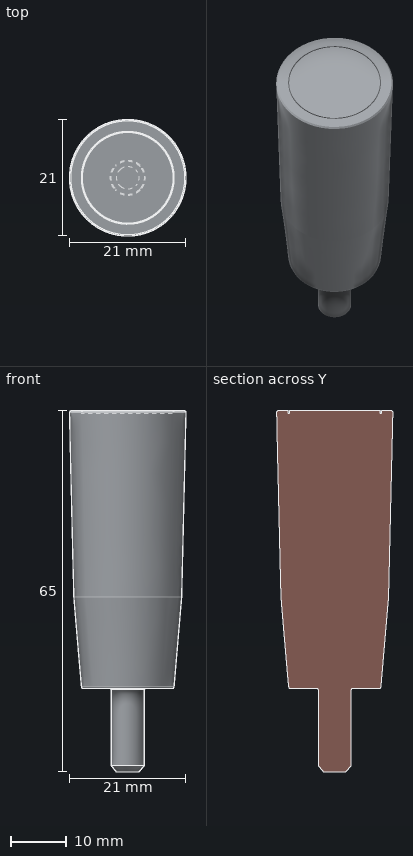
import cadquery as cq

total_height = 65.0
pin_length = 15.0
seam_z = 31.45
tip_chamfer_height = 1.2

top_diameter = 21.0
seam_diameter = 19.45
base_diameter = 16.7
pin_diameter = 6.0
tip_diameter = 4.0
flare_diameter = 6.3
cap_hole_diameter = 16.7

top_chamfer = 0.25
base_chamfer_width = 0.1
base_chamfer_height = 0.4
flare_height = 0.2
cap_gap = 0.2
cap_groove_depth = 0.5


def make_grip():
    """Two tapered stretches meeting at the seam, turned about Z."""
    base_radius = base_diameter / 2
    top_radius = top_diameter / 2
    return (
        cq.Workplane("XZ")
        .moveTo(0, pin_length)
        .lineTo(base_radius - base_chamfer_width, pin_length)
        .lineTo(base_radius, pin_length + base_chamfer_height)
        .lineTo(seam_diameter / 2, seam_z)
        .lineTo(top_radius, total_height - top_chamfer)
        .lineTo(top_radius - top_chamfer, total_height)
        .lineTo(0, total_height)
        .close()
        .revolve(360, (0, 0, 0), (0, 1, 0))
    )


def make_pin():
    """Round pin with a chamfered tip and a small flare where it meets the grip."""
    pin_radius = pin_diameter / 2
    flare_radius = flare_diameter / 2
    flare_bottom = pin_length - flare_height
    return (
        cq.Workplane("XZ")
        .lineTo(tip_diameter / 2, 0)
        .lineTo(pin_radius, tip_chamfer_height)
        .lineTo(pin_radius, flare_bottom)
        .lineTo(flare_radius, pin_length)
        .lineTo(0, pin_length)
        .close()
        .revolve(360, (0, 0, 0), (0, 1, 0))
    )


def make_cap_groove():
    """Narrow ring that separates the end cap from the grip."""
    return (
        cq.Workplane("XY", origin=(0, 0, total_height - cap_groove_depth))
        .circle(cap_hole_diameter / 2)
        .circle(cap_hole_diameter / 2 - cap_gap)
        .extrude(cap_groove_depth)
    )


result = make_grip().union(make_pin()).cut(make_cap_groove())